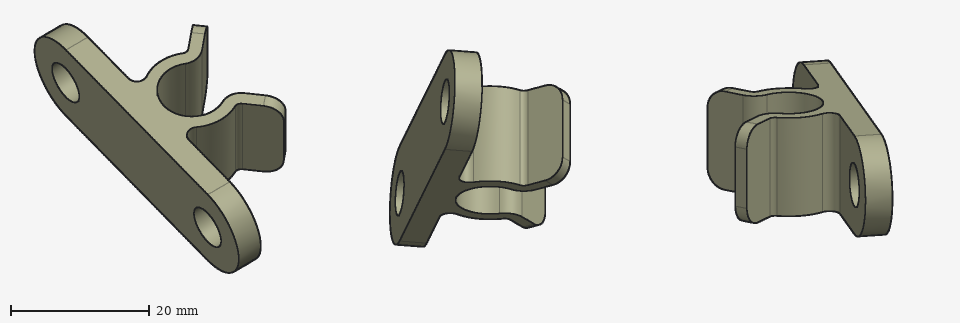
import cadquery as cq
import math

plate_length = 49.0
plate_height = 15.0
plate_thickness = 4.0
hole_diameter = 6.5
hole_spacing = plate_length - plate_height

bore_radius = 5.0
wall = 2.0
bore_floor = 1.0
root_radius = 1.5
bend_radius = 1.0
bend_centre_y = 13.55
lip_angle = 45.0
lip_end_y = 20.0
lip_corner_radius = 3.0

ring_radius = bore_radius + wall
ring_y = plate_thickness + bore_floor + bore_radius
bend_outer_radius = bend_radius + wall


def polar(centre, radius, degrees):
    """Point at an angle on a circle."""
    angle = math.radians(degrees)
    return (centre[0] + radius * math.cos(angle), centre[1] + radius * math.sin(angle))


def mirrored(point):
    """Same point on the -X half of the clip."""
    return (-point[0], point[1])


def make_plate():
    oval = cq.Workplane("XZ").slot2D(plate_length, plate_height).extrude(-plate_thickness)
    return (
        oval.faces("<Y").workplane(origin=(0, 0, 0))
        .pushPoints([(-hole_spacing / 2, 0), (hole_spacing / 2, 0)])
        .hole(hole_diameter)
    )


ring_centre = (0, ring_y)
bend_distance = ring_radius + bend_radius
bend_angle = math.degrees(math.asin((bend_centre_y - ring_y) / bend_distance))
bend_centre = polar(ring_centre, bend_distance, bend_angle)

root_centre_y = plate_thickness + root_radius
root_distance = ring_radius + root_radius
root_angle = math.degrees(math.asin((root_centre_y - ring_y) / root_distance))
root_centre = polar(ring_centre, root_distance, root_angle)

bend_start = 180 + bend_angle
bend_end = 90 + lip_angle
bend_middle = (bend_start + bend_end) / 2

lip_inner_start = polar(bend_centre, bend_outer_radius, bend_end)
lip_outer_start = polar(bend_centre, bend_radius, bend_end)
lip_length = (lip_end_y - lip_inner_start[1]) / math.sin(math.radians(lip_angle))
lip_inner_end = polar(lip_inner_start, lip_length, lip_angle)
lip_outer_end = polar(lip_outer_start, lip_length, lip_angle)


def make_clip():
    root_start = (root_centre[0], plate_thickness)
    root_middle = polar(root_centre, root_radius, (270 + 180 + root_angle) / 2)
    root_end = polar(ring_centre, ring_radius, root_angle)
    ring_middle = polar(ring_centre, ring_radius, (root_angle + bend_angle) / 2)
    ring_end = polar(ring_centre, ring_radius, bend_angle)
    notch_middle = polar(bend_centre, bend_radius, bend_middle)
    neck_middle = polar(bend_centre, bend_outer_radius, bend_middle)
    bore_end = polar(ring_centre, bore_radius, bend_angle)
    bore_bottom = (0, ring_y - bore_radius)
    plate_middle_y = plate_thickness / 2

    profile = (
        cq.Workplane("XY", origin=(0, 0, -plate_height / 2))
        .moveTo(root_start[0], plate_middle_y)
        .lineTo(*root_start)
        .threePointArc(root_middle, root_end)
        .threePointArc(ring_middle, ring_end)
        .threePointArc(notch_middle, lip_outer_start)
        .lineTo(*lip_outer_end)
        .lineTo(*lip_inner_end)
        .lineTo(*lip_inner_start)
        .threePointArc(neck_middle, bore_end)
        .threePointArc(bore_bottom, mirrored(bore_end))
        .threePointArc(mirrored(neck_middle), mirrored(lip_inner_start))
        .lineTo(*mirrored(lip_inner_end))
        .lineTo(*mirrored(lip_outer_end))
        .lineTo(*mirrored(lip_outer_start))
        .threePointArc(mirrored(notch_middle), mirrored(ring_end))
        .threePointArc(mirrored(ring_middle), mirrored(root_end))
        .threePointArc(mirrored(root_middle), mirrored(root_start))
        .lineTo(-root_start[0], plate_middle_y)
        .close()
    )
    clip = profile.extrude(plate_height)

    for side in (-1, 1):
        normal_x, normal_y = polar((0, 0), 1, lip_angle)
        end_normal = cq.Vector(side * normal_x, normal_y, 0)
        end_face = clip.faces(cq.selectors.DirectionMinMaxSelector(end_normal, True))
        clip = end_face.edges("#Z").fillet(lip_corner_radius)
    return clip


result = make_plate().union(make_clip())